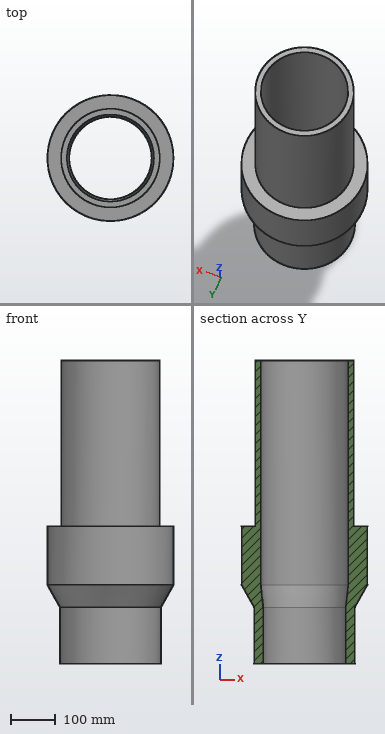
import cadquery as cq

collar_diameter = 281.0
upper_pipe_diameter = 219.5
lower_pipe_diameter = 225.5
upper_bore_diameter = 194.0
lower_bore_diameter = 183.0

taper_bottom = 126.0
taper_top = 175.5
collar_top = 306.5
total_height = 675.0


def revolved_body():
    """Revolve the half section around Z; the bore narrows at the level of the outer taper."""
    half_section = [
        (lower_bore_diameter / 2, 0),
        (lower_pipe_diameter / 2, 0),
        (lower_pipe_diameter / 2, taper_bottom),
        (collar_diameter / 2, taper_top),
        (collar_diameter / 2, collar_top),
        (upper_pipe_diameter / 2, collar_top),
        (upper_pipe_diameter / 2, total_height),
        (upper_bore_diameter / 2, total_height),
        (upper_bore_diameter / 2, taper_top),
        (lower_bore_diameter / 2, taper_bottom),
    ]
    return cq.Workplane("XZ").polyline(half_section).close().revolve(360, (0, 0), (0, 1))


result = revolved_body()